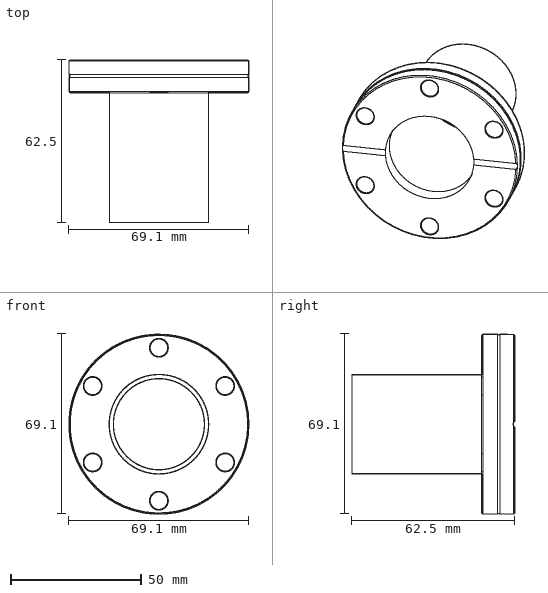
import cadquery as cq

flange_diameter = 69.1
overall_length = 62.5
flange_thickness = 12.7
edge_chamfer = 0.5

bolt_count = 6
bolt_hole_diameter = 6.7
bolt_circle_diameter = 58.7
bolt_chamfer = 0.25

tube_diameter = 38.1
tube_bore = 34.9
socket_diameter = 38.3
socket_depth = flange_thickness / 2

rim_groove_width = 1.0
rim_groove_depth = 0.3
rim_groove_from_back = 6.2
leak_groove_width = 2.5
leak_groove_depth = 0.55

flange_back = overall_length
flange_front = flange_back - flange_thickness
socket_floor = flange_front + socket_depth


def cylinder(diameter, y_start, y_end):
    """Solid cylinder on the Y axis between two stations."""
    plane = cq.Workplane("XZ", origin=(0, y_start, 0))
    return plane.circle(diameter / 2).extrude(y_start - y_end)


def bolt_hole_cutter():
    """Ring of through holes, each flared at both flange faces."""
    hole_radius = bolt_hole_diameter / 2
    mouth_radius = hole_radius + bolt_chamfer
    hole = (
        cq.Workplane("XY")
        .moveTo(0, flange_front)
        .lineTo(mouth_radius, flange_front)
        .lineTo(hole_radius, flange_front + bolt_chamfer)
        .lineTo(hole_radius, flange_back - bolt_chamfer)
        .lineTo(mouth_radius, flange_back)
        .lineTo(0, flange_back)
        .close()
        .revolve(360, (0, 0, 0), (0, 1, 0))
        .translate((0, 0, bolt_circle_diameter / 2))
    )
    cutter = cq.Workplane("XY")
    for index in range(bolt_count):
        angle = index * 360 / bolt_count
        cutter = cutter.add(hole.rotate((0, 0, 0), (0, 1, 0), angle))
    return cutter.combine()


def rim_groove_cutter():
    """Shallow round-bottomed ring in the rim of the flange."""
    rim_radius = flange_diameter / 2
    groove_y = flange_back - rim_groove_from_back
    half_width = rim_groove_width / 2
    return (
        cq.Workplane("XY")
        .moveTo(rim_radius, groove_y - half_width)
        .threePointArc((rim_radius - rim_groove_depth, groove_y), (rim_radius, groove_y + half_width))
        .close()
        .revolve(360, (0, 0, 0), (0, 1, 0))
    )


def leak_groove_cutter():
    """Shallow round-bottomed channel across the back face, along X."""
    half_width = leak_groove_width / 2
    return (
        cq.Workplane("YZ")
        .moveTo(flange_back, -half_width)
        .threePointArc((flange_back - leak_groove_depth, 0), (flange_back, half_width))
        .close()
        .extrude(flange_diameter / 2, both=True)
    )


def make_flange():
    disc = cylinder(flange_diameter, flange_front, flange_back)
    disc = disc.edges().chamfer(edge_chamfer)
    disc = disc.cut(cylinder(tube_bore, flange_front, flange_back))
    disc = disc.cut(cylinder(socket_diameter, flange_front, socket_floor))
    disc = disc.cut(bolt_hole_cutter())
    disc = disc.cut(rim_groove_cutter())
    return disc.cut(leak_groove_cutter())


def make_tube():
    return cylinder(tube_diameter, 0, socket_floor).cut(cylinder(tube_bore, 0, socket_floor))


flange = make_flange()
tube = make_tube()

result = cq.Compound.makeCompound([flange.val(), tube.val()])